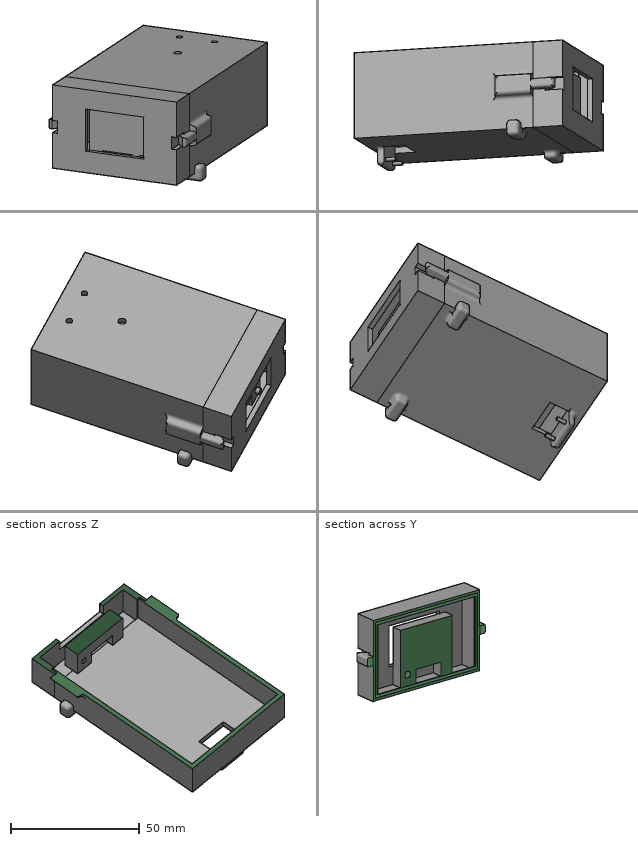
import cadquery as cq

case_width = 53.1
case_depth = 85.0
case_height = 34.0
half_width = case_width / 2
mid_height = case_height / 2

side_wall = 2.0
floor_wall = 2.5
lid_depth = 12.0
lid_front_wall = 1.95
lid_side_wall = 2.7
lip_length = 2.7
lip_wall = 1.0
lip_front = lid_depth - lip_length

window_width = 25.0
window_height = 17.2
window_bottom = 8.8

round_radius = 1.45
root_depth = 0.4
root_margin = 2 * round_radius

overall_width = 59.2
outer_x = overall_width / 2
rib_length = 15.0
rib_height = 8.1
arm_height = 3.8
arm_front = 2.6
arm_radius = 0.9
arm_thickness = 1.7
hook_depth = 1.7
hook_slope_end = 5.7
catch_height = 5.0
catch_depth = 2.0
catch_length = 7.1

foot_length = 10.4
foot_width = 5.2
foot_center_y = 19.55
foot_drop = 3.2
foot_rise = 3.1
foot_root_inset = 2.4

tab_width = 13.9
tab_thickness = 3.15
tab_front = 79.0
tab_drop = 7.0
tab_bottom_radius = 1.45
peg_diameter = 1.5
peg_length = 4.0
peg_offset = 4.4
peg_drop = 4.6
opening_length = 8.5

button_hole_diameter = 2.4
button_hole_offset = 7.5
button_hole_y = 77.0
lamp_hole_diameter = 3.0
lamp_hole_x = 0.4
lamp_hole_y = 58.05

holder_width = 26.0
holder_front = 5.0
holder_thickness = 6.8
holder_margin = 0.6
holder_back = holder_front + holder_thickness
notch_left = -7.1
notch_right = 5.1
pin_diameter = 2.55
pin_x = 9.35
pin_z = 7.1
pin_front = 3.2


def block(x_range, y_range, z_range):
    """Box between the given limits on each axis."""
    lows, highs = zip(x_range, y_range, z_range)
    size = [high - low for low, high in zip(lows, highs)]
    return cq.Workplane("XY").box(*size, centered=False).translate(lows)


def centered(middle, size):
    """Limits of a span of the given size about its middle."""
    return (middle - size / 2, middle + size / 2)


def case_tube(side_inset, top_inset, y_range):
    """Block inset from the case sides, and from its roof and underside."""
    return block(
        centered(0, case_width - 2 * side_inset),
        y_range,
        centered(mid_height, case_height - 2 * top_inset),
    )


def rod(diameter, x, z, y_start, y_end):
    """Cylinder along Y between the given ends."""
    plane = cq.Workplane("XZ", origin=(x, y_start, z))
    return plane.circle(diameter / 2).extrude(y_start - y_end)


def flared(root, stem, x_range, y_range, z_range):
    """Root and stem joined, with a round flare along the edges inside the given limits."""
    reach = 0.01
    lows, highs = zip(x_range, y_range, z_range)
    around = cq.selectors.BoxSelector(
        [low - reach for low in lows], [high + reach for high in highs], boundingbox=True
    )
    return root.union(stem, clean=True).edges(around).fillet(round_radius)


def both_sides(left_feature):
    """A feature of the -X side together with its mirror image."""
    return left_feature.union(left_feature.mirror("YZ"))


def side_rib():
    """Rib on the -X wall, flared at its root and cut off square where the lid begins."""
    rib_back = lid_depth + rib_length
    root = block(
        (-half_width, root_depth - half_width),
        (lid_depth, rib_back + root_margin),
        centered(mid_height, rib_height + 2 * root_margin),
    )
    bar = block(
        (-outer_x, -half_width),
        (lid_depth, rib_back),
        centered(mid_height, rib_height),
    )
    bar = bar.faces("<X").edges(">Y or >Z or <Z").fillet(round_radius)
    return flared(
        root,
        bar,
        (-half_width, -half_width),
        (lid_depth, rib_back),
        centered(mid_height, rib_height),
    )


def snap_arm():
    """Arm that runs forward from the -X rib along the lid, with a hook for the lid's catch."""
    arm = block(
        (-outer_x, -half_width), (arm_front, lid_depth), centered(mid_height, arm_height)
    )
    arm = arm.faces("<X").edges("<Y or >Z or <Z").fillet(arm_radius)
    hook_x = hook_depth - half_width
    slope_start_x = arm_thickness - outer_x
    hook = block(
        (slope_start_x, hook_x), (arm_front, catch_length), centered(mid_height, arm_height)
    )
    corner = (
        cq.Workplane("XY", origin=(0, 0, mid_height))
        .moveTo(slope_start_x, arm_front)
        .lineTo(hook_x, arm_front)
        .lineTo(hook_x, hook_slope_end)
        .close()
        .extrude(arm_height / 2, both=True)
    )
    return arm.union(hook).cut(corner)


def foot():
    """Rounded foot round the lower -X edge, flared where it meets the underside."""
    inner_x = foot_length - outer_x
    y_range = centered(foot_center_y, foot_width)
    body = block((-outer_x, inner_x), y_range, (-foot_drop, foot_rise)).edges().fillet(round_radius)
    root_start = foot_root_inset - half_width
    root_x_range = (root_start, inner_x + root_margin)
    root_y_range = centered(foot_center_y, foot_width + 2 * root_margin)
    root = block(root_x_range, root_y_range, (0, root_depth))
    stem = block((root_start, inner_x), y_range, (-2 * round_radius, 0))
    stem = stem.edges("|Z and >X").fillet(round_radius)
    flare = flared(root, stem, (root_start, inner_x), y_range, (0, 0))
    flare = flare.intersect(block(root_x_range, root_y_range, (-round_radius, root_depth)))
    return body.union(flare)


def rear_tab():
    """Tab under the floor, flared at its back and sides, with two pegs pointing forward."""
    tab_back = tab_front + tab_thickness
    root = block(
        centered(0, tab_width + 2 * root_margin),
        (tab_front, case_depth - root_depth),
        (0, root_depth),
    )
    plate = block(centered(0, tab_width), (tab_front, tab_back), (-tab_drop, 0))
    plate = plate.edges("|Z and >Y").fillet(round_radius)
    plate = plate.faces("<Z").edges().fillet(tab_bottom_radius)
    return flared(root, plate, centered(0, tab_width), (tab_front, tab_back), (0, 0))


def tab_pegs():
    """Two pegs that point forward from the tab."""
    left_peg = rod(peg_diameter, -peg_offset, -peg_drop, tab_front - peg_length, tab_front)
    return both_sides(left_peg)


def build_housing():
    shell = case_tube(0, 0, (lid_depth, case_depth))
    lip = case_tube(lip_wall, lip_wall, (lip_front, lid_depth))
    shell = shell.union(lip)
    shell = shell.union(both_sides(side_rib().union(snap_arm()))).union(both_sides(foot()))
    shell = shell.union(rear_tab()).union(tab_pegs())
    shell = shell.cut(case_tube(side_wall, floor_wall, (lip_front, case_depth - side_wall)))
    opening = block(
        centered(0, tab_width), (tab_front - opening_length, tab_front), (-root_depth, floor_wall)
    )
    return shell.cut(opening).cut(roof_holes())


def roof_holes():
    """Two button holes and one lamp hole through the roof."""
    roof = cq.Workplane("XY", origin=(0, 0, case_height))
    button_points = [(-button_hole_offset, button_hole_y), (button_hole_offset, button_hole_y)]
    buttons = roof.pushPoints(button_points).circle(button_hole_diameter / 2).extrude(-floor_wall)
    lamp = roof.center(lamp_hole_x, lamp_hole_y).circle(lamp_hole_diameter / 2).extrude(-floor_wall)
    return buttons.union(lamp)


def build_lid():
    lid = case_tube(0, 0, (0, lid_depth))
    lid = lid.cut(case_tube(lid_side_wall, lip_wall, (lid_front_wall, lip_front)))
    lid = lid.cut(case_tube(lip_wall, lip_wall, (lip_front, lid_depth)))
    window = block(
        centered(0, window_width), (0, lid_front_wall), (window_bottom, window_bottom + window_height)
    )
    catch = block(
        (-half_width, catch_depth - half_width), (0, catch_length), centered(mid_height, catch_height)
    )
    return lid.cut(window).cut(both_sides(catch))


def build_display_holder():
    """Thick plate behind the window, standing on two legs on the housing floor."""
    y_range = (holder_front, holder_back)
    notch_top = window_bottom - holder_margin
    top = window_bottom + window_height + holder_margin
    plate = block(centered(0, holder_width), y_range, (floor_wall, top))
    notch = block((notch_left, notch_right), y_range, (floor_wall, notch_top))
    pin_hole = rod(pin_diameter, pin_x, pin_z, holder_front, holder_back)
    return plate.cut(notch).cut(pin_hole)


def build_locating_pin():
    """Pin that sits in the holder and stands out of its front."""
    return rod(pin_diameter, pin_x, pin_z, pin_front, holder_back)


housing = build_housing()
lid = build_lid()
display_holder = build_display_holder()
locating_pin = build_locating_pin()

result = cq.Compound.makeCompound(
    [housing.val(), lid.val(), display_holder.val(), locating_pin.val()]
)